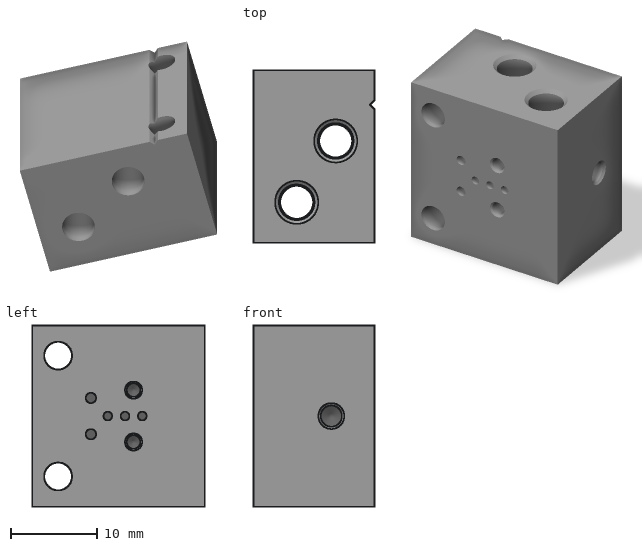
import cadquery as cq
import math

width = 14.0
depth = 20.0
height = 21.0
left_x = -width / 2
right_x = width / 2
front_y = -depth / 2
back_y = depth / 2
top_z = height / 2

drill_point_angle = 118.0
point_slope = math.tan(math.radians(drill_point_angle / 2))

port_places = [(9.51, 8.2), (5.0, 15.29)]
port_mouth_diameter = 5.0
port_diameter = 4.14
port_depth = 8.0
port_through_diameter = 3.8

mount_diameter = 3.2
mount_from_back = 3.0
mount_half_spacing = 7.0

air_diameter = 1.0
air_pitch = 2.0
air_middle_from_back = 10.75
air_depth = 4.0
pair_diameter = 1.2
pair_from_back = 6.8
pair_half_spacing = 2.1

screw_diameter = 1.58
screw_mouth_diameter = 2.0
screw_from_back = 11.74
screw_half_spacing = 3.0
screw_depth = 4.0

side_diameter = 2.45
side_mouth_diameter = 3.0
side_from_left = 9.0
side_depth = 6.0

groove_from_back = 4.0
groove_depth = 0.5


def drilled_hole(start, direction, diameter, mouth_diameter, hole_depth):
    """Blind hole with a 45 degree countersink and a conical drill point."""
    radius = diameter / 2
    mouth_radius = mouth_diameter / 2
    point_length = radius / point_slope
    profile = (
        cq.Workplane("XY")
        .moveTo(0, 0)
        .lineTo(mouth_radius, 0)
        .lineTo(radius, mouth_radius - radius)
        .lineTo(radius, hole_depth)
        .lineTo(0, hole_depth + point_length)
        .close()
    )
    tool = profile.revolve(axisStart=(0, 0), axisEnd=(0, 1)).val()
    upward = cq.Vector(0, 0, 1)
    plane = cq.Plane(origin=start, xDir=upward, normal=upward.cross(cq.Vector(*direction)))
    return tool.moved(cq.Location(plane))


def plain_hole(start, direction, diameter, hole_depth):
    """Flat-bottomed cylinder."""
    return cq.Solid.makeCylinder(diameter / 2, hole_depth, cq.Vector(*start), cq.Vector(*direction))


def stepped_port(from_left, from_back):
    """Countersunk port in the top face, continued by a narrower bore to the bottom face.

    A conical shoulder, left by the drill point, joins the two bores.
    """
    place = (left_x + from_left, back_y - from_back, top_z)
    down = (0, 0, -1)
    countersink_depth = (port_mouth_diameter - port_diameter) / 2
    countersink = cq.Solid.makeCone(
        port_mouth_diameter / 2, port_diameter / 2, countersink_depth, cq.Vector(*place), cq.Vector(*down)
    )
    port = plain_hole(place, down, port_diameter, port_depth)
    bore = plain_hole(place, down, port_through_diameter, height)
    shoulder_length = (port_diameter - port_through_diameter) / 2 / point_slope
    shoulder_start = (place[0], place[1], top_z - port_depth)
    shoulder = cq.Solid.makeCone(
        port_diameter / 2,
        port_through_diameter / 2,
        shoulder_length,
        cq.Vector(*shoulder_start),
        cq.Vector(*down),
    )
    return [countersink, port, shoulder, bore]


def left_face_point(from_back, z):
    return (left_x, back_y - from_back, z)


inward_x = (1, 0, 0)
inward_y = (0, 1, 0)

tools = []

for from_left, from_back in port_places:
    tools += stepped_port(from_left, from_back)

for side in (-1, 1):
    mount_start = left_face_point(mount_from_back, side * mount_half_spacing)
    tools.append(plain_hole(mount_start, inward_x, mount_diameter, width))

    pair_start = left_face_point(pair_from_back, side * pair_half_spacing)
    tools.append(plain_hole(pair_start, inward_x, pair_diameter, air_depth))

    screw_start = left_face_point(screw_from_back, side * screw_half_spacing)
    tools.append(drilled_hole(screw_start, inward_x, screw_diameter, screw_mouth_diameter, screw_depth))

for step in (-1, 0, 1):
    air_start = left_face_point(air_middle_from_back + step * air_pitch, 0)
    tools.append(plain_hole(air_start, inward_x, air_diameter, air_depth))

side_start = (left_x + side_from_left, front_y, 0)
tools.append(drilled_hole(side_start, inward_y, side_diameter, side_mouth_diameter, side_depth))

groove_y = back_y - groove_from_back
groove = (
    cq.Workplane("XY")
    .workplane(offset=-height / 2)
    .moveTo(right_x - groove_depth, groove_y)
    .lineTo(right_x, groove_y + groove_depth)
    .lineTo(right_x, groove_y - groove_depth)
    .close()
    .extrude(height)
)
tools.append(groove.val())

result = cq.Workplane("XY").box(width, depth, height)
for tool in tools:
    result = result.cut(cq.Workplane(obj=tool))